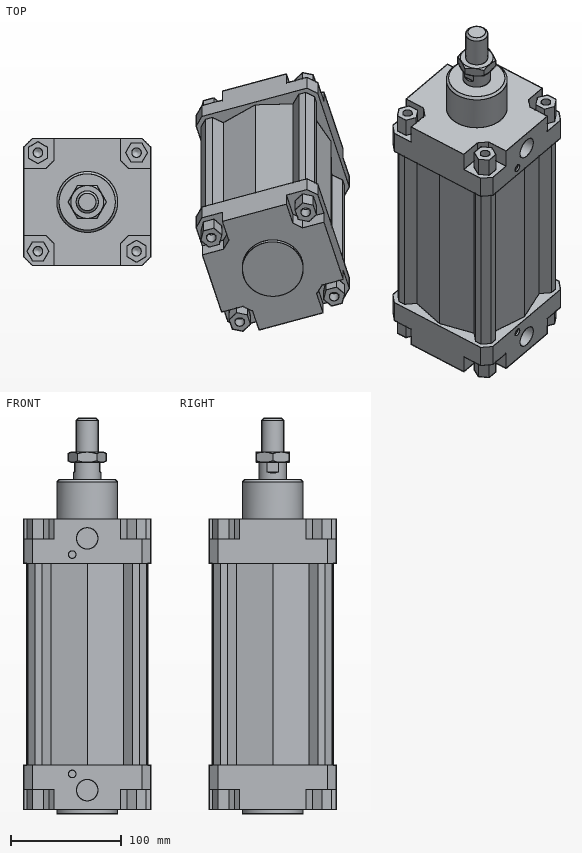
import cadquery as cq
import math

total_height = 358.0
spigot_height = 4.0
cap_height = 40.0
cap_span = 262.8
collar_height = 35.8
cap_bottom = spigot_height
cap_top = cap_bottom + cap_span
middle = (cap_bottom + cap_top) / 2
collar_top = cap_top + collar_height

cap_side = 115.0
cap_chamfer = 8.0
notch_side = 27.2
notch_corner_cut = 7.0
notch_depth = 18.3
collar_diameter = 55.0
collar_chamfer = 2.0

tie_rod_spacing = 89.0
head_flats = 17.2
head_hole_diameter = 8.5
head_hole_depth = 14.3
drill_point_angle = 118.0

port_diameter = 19.5
port_depth = 18.0
port_inset = 17.5
screw_hole_diameter = 6.8
screw_hole_depth = 2.0
screw_hole_inset = 32.2
screw_hole_x = -13.5

barrel_half = 53.7
barrel_ridge = 54.8
barrel_chamfer = 6.5
step_outer = 40.8
step_depth = 8.0

nut_bottom = 318.0
nut_thickness = 9.3
nut_flats = 30.0
nut_bevel_diameter = 29.7
nut_bevel_angle = 30.0

rod_diameter = 25.0
thread_diameter = 20.0
thread_chamfer = 2.0
rod_flats = 23.0
rod_flat_bottom = 308.2


def across_corners(flats):
    """Across-corners size of a hexagon with the given across-flats size."""
    return flats / math.cos(math.radians(30))


def at_height(z):
    return cq.Workplane("XY").workplane(offset=z)


def make_barrel():
    """Profiled barrel: each side has a central ridge between two 45-degree steps."""
    corner = barrel_half - barrel_chamfer
    step_inner = step_outer - step_depth
    step_floor = barrel_half - step_depth
    side = [
        (-corner, -barrel_half),
        (-step_outer, -barrel_half),
        (-step_inner, -step_floor),
        (0, -barrel_ridge),
        (step_inner, -step_floor),
        (step_outer, -barrel_half),
        (corner, -barrel_half),
    ]
    outline = []
    for _ in range(4):
        outline += side
        side = [(-y, x) for x, y in side]
    barrel_length = cap_span - 2 * cap_height
    return at_height(cap_bottom + cap_height).polyline(outline).close().extrude(barrel_length)


def make_corner_notch():
    """Cutter for the notch at the +X +Y corner, its inner corner cut off at 45 degrees."""
    outer = cap_side / 2
    inner = outer - notch_side
    outline = [
        (outer, inner),
        (outer, outer),
        (inner, outer),
        (inner, inner + notch_corner_cut),
        (inner + notch_corner_cut, inner),
    ]
    return at_height(cap_top - notch_depth).polyline(outline).close().extrude(notch_depth)


def make_tie_rod_head():
    """Hexagonal head at the +X +Y corner, with a blind hole that ends in a drill point."""
    radius = head_hole_diameter / 2
    hole_floor = cap_top - head_hole_depth
    tip = hole_floor - radius / math.tan(math.radians(drill_point_angle / 2))
    drill = (
        cq.Workplane("XZ")
        .polyline([(0, cap_top), (radius, cap_top), (radius, hole_floor), (0, tip)])
        .close()
        .revolve(360, (0, 0), (0, 1))
    )
    head = at_height(cap_top - notch_depth).polygon(6, across_corners(head_flats)).extrude(notch_depth)
    return head.cut(drill).translate((tie_rod_spacing / 2, tie_rod_spacing / 2, 0))


def make_face_hole(x, z, diameter, depth):
    """Cutter for a blind hole drilled into the -Y face."""
    return (
        cq.Workplane("XZ", origin=(x, -cap_side / 2, z))
        .circle(diameter / 2)
        .extrude(-depth)
    )


def make_upper_cap():
    """Square cap with a notch and a tie-rod head at each corner, and two holes in its -Y face."""
    cap = (
        at_height(cap_top - cap_height)
        .rect(cap_side, cap_side)
        .extrude(cap_height)
        .edges("|Z")
        .chamfer(cap_chamfer)
    )
    notch = make_corner_notch()
    head = make_tie_rod_head()
    for turn in (0, 90, 180, 270):
        cap = cap.cut(notch.rotate((0, 0, 0), (0, 0, 1), turn))
        cap = cap.union(head.rotate((0, 0, 0), (0, 0, 1), turn))
    cap = cap.cut(make_face_hole(0, cap_top - port_inset, port_diameter, port_depth))
    return cap.cut(
        make_face_hole(screw_hole_x, cap_top - screw_hole_inset, screw_hole_diameter, screw_hole_depth)
    )


def make_housing():
    upper_cap = make_upper_cap()
    lower_cap = upper_cap.mirror("XY", (0, 0, middle))
    collar = (
        at_height(cap_top)
        .circle(collar_diameter / 2)
        .extrude(collar_height)
        .faces(">Z")
        .chamfer(collar_chamfer)
    )
    spigot = at_height(0).circle(collar_diameter / 2).extrude(spigot_height)
    return make_barrel().union(upper_cap).union(lower_cap).union(collar).union(spigot)


def make_flat_cutter():
    """Cutter for the flat on the +X side, its lower end a 45-degree ramp out to the rod surface."""
    flat = rod_flats / 2
    surface = rod_diameter / 2
    ramp_top = rod_flat_bottom + surface - flat
    outline = [
        (flat, ramp_top),
        (surface, rod_flat_bottom),
        (surface, nut_bottom),
        (flat, nut_bottom),
    ]
    return cq.Workplane("XZ").polyline(outline).close().extrude(surface, both=True)


def make_piston_rod():
    shank = at_height(collar_top).circle(rod_diameter / 2).extrude(nut_bottom - collar_top)
    thread = (
        at_height(nut_bottom)
        .circle(thread_diameter / 2)
        .extrude(total_height - nut_bottom)
        .faces(">Z")
        .chamfer(thread_chamfer)
    )
    flat = make_flat_cutter()
    return shank.cut(flat).cut(flat.mirror("YZ")).union(thread)


def make_nut():
    bevel_radius = nut_bevel_diameter / 2
    outer_radius = across_corners(nut_flats) / 2
    nut_top = nut_bottom + nut_thickness
    bevel_height = (outer_radius - bevel_radius) * math.tan(math.radians(nut_bevel_angle))
    bevelled_blank = (
        cq.Workplane("XZ")
        .polyline([
            (0, nut_bottom),
            (bevel_radius, nut_bottom),
            (outer_radius, nut_bottom + bevel_height),
            (outer_radius, nut_top - bevel_height),
            (bevel_radius, nut_top),
            (0, nut_top),
        ])
        .close()
        .revolve(360, (0, 0), (0, 1))
    )
    hexagon = at_height(nut_bottom).polygon(6, across_corners(nut_flats)).extrude(nut_thickness)
    bore = at_height(nut_bottom).circle(thread_diameter / 2).extrude(nut_thickness)
    return hexagon.intersect(bevelled_blank).cut(bore)


housing = make_housing()
piston_rod = make_piston_rod()
nut = make_nut()

result = cq.Compound.makeCompound([housing.val(), piston_rod.val(), nut.val()])